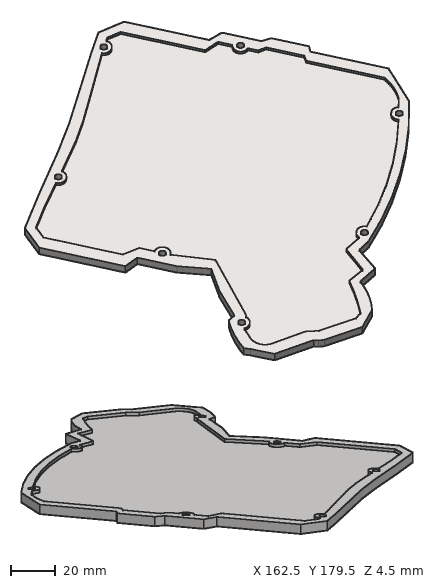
import cadquery as cq


length = 179.5
width = 162.5
thickness = 4.5
pocket_depth = 1.5
boss_diameter = 7.4
screw_diameter = 3.2

back_step = 5.7
front_step = 6.3
outer_back = 176.6
outer_back_left = outer_back - back_step
outer_front_left = 32.1
outer_front = outer_front_left + front_step
outer_chamfer = 9.3
left_waist = 2.2
middle_y = (outer_back_left + outer_front_left) / 2

corner_rim = 6.3
narrow_rim = 5.7
tab_rim = 6.0
pocket_back = outer_back - narrow_rim
pocket_back_tab = length - tab_rim
pocket_back_left = outer_back_left - corner_rim
pocket_front_left = outer_front_left + corner_rim
pocket_front = outer_front + narrow_rim
pocket_left = 4.7
pocket_chamfer = 4.8
pocket_waist = 3.2

screws = [
    (4.7, 154.0),
    (63.2, 171.6),
    (142.3, 152.4),
    (146.6, 80.5),
    (108.5, 14.4),
    (63.2, 44.0),
    (6.1, 74.7),
]


def bow_left_side(path, end_y, side_x, depth):
    """Run back along a left side that bows inward at its middle and leaves both ends along Y."""
    waist = (side_x + depth, middle_y)
    along_y = (0, 1)
    return path.spline(
        [waist, (side_x, end_y)],
        tangents=[along_y, along_y],
        includeCurrent=True,
    )


def outside_outline():
    path = (
        cq.Workplane("XY")
        .moveTo(0, outer_back_left - outer_chamfer)
        .lineTo(outer_chamfer, outer_back_left)
        .lineTo(48.8, outer_back_left)
        .lineTo(53.1, outer_back)
        .lineTo(71.5, outer_back)
        .lineTo(75.2, length)
        .lineTo(92.8, length)
        .lineTo(94.2, outer_back)
        .lineTo(130.5, outer_back)
        .lineTo(144.7, 160.5)
        .threePointArc((152.5, 114.9), (149.9, 76.1))
        .lineTo(147.2, 69.8)
        .lineTo(157.0, 61.4)
        .lineTo(152.7, 52.0)
        .threePointArc((159.0, 44.7), (width, 37.5))
        .lineTo(161.0, 26.5)
        .lineTo(146.6, 14.5)
        .lineTo(144.1, 13.5)
        .lineTo(142.2, 13.1)
        .lineTo(127.6, 0.5)
        .lineTo(116.3, 0.4)
        .lineTo(113.5, 0)
        .lineTo(110.7, 2.5)
        .threePointArc((106.5, 7.5), (102.5, 13.8))
        .lineTo(104.1, 17.5)
        .lineTo(93.9, 29.5)
        .lineTo(86.7, 41.1)
        .lineTo(71.5, outer_front)
        .lineTo(53.1, outer_front)
        .lineTo(49.4, outer_front_left)
        .lineTo(outer_chamfer, outer_front_left)
        .lineTo(0, outer_front_left + outer_chamfer)
    )
    return bow_left_side(path, outer_back_left - outer_chamfer, 0, left_waist).close()


def pocket_outline():
    corner_y = pocket_back_left - pocket_chamfer
    path = (
        cq.Workplane("XY", origin=(0, 0, thickness - pocket_depth))
        .moveTo(pocket_left, corner_y)
        .lineTo(pocket_left + pocket_chamfer, pocket_back_left)
        .lineTo(48.8, pocket_back_left)
        .lineTo(53.0, pocket_back)
        .lineTo(71.6, pocket_back)
        .lineTo(74.5, pocket_back_tab)
        .lineTo(92.3, pocket_back_tab)
        .lineTo(93.9, pocket_back)
        .lineTo(130.1, pocket_back)
        .threePointArc((136.0, 166.0), (139.6, 161.0))
        .lineTo(140.9, 156.2)
        .threePointArc((148.0, 116.7), (146.6, 84.4))
        .lineTo(145.0, 76.3)
        .lineTo(141.5, 68.7)
        .lineTo(152.0, 59.0)
        .lineTo(147.9, 51.2)
        .threePointArc((153.3, 43.0), (158.0, 34.3))
        .lineTo(156.9, 30.7)
        .lineTo(142.9, 19.0)
        .lineTo(137.3, 17.0)
        .lineTo(125.3, 6.5)
        .threePointArc((119.5, 4.3), (114.7, 6.5))
        .lineTo(109.3, 12.5)
        .lineTo(109.3, 18.8)
        .lineTo(87.0, 46.7)
        .lineTo(67.1, pocket_front)
        .lineTo(52.5, pocket_front)
        .lineTo(46.3, pocket_front_left)
        .lineTo(pocket_left + pocket_chamfer, pocket_front_left)
        .lineTo(pocket_left, pocket_front_left + pocket_chamfer)
    )
    return bow_left_side(path, corner_y, pocket_left, pocket_waist).close()


def screw_cylinders(diameter):
    return cq.Workplane("XY").pushPoints(screws).circle(diameter / 2).extrude(thickness)


plate = outside_outline().extrude(thickness)

pocket = pocket_outline().extrude(pocket_depth).cut(screw_cylinders(boss_diameter))

result = plate.cut(pocket).cut(screw_cylinders(screw_diameter))